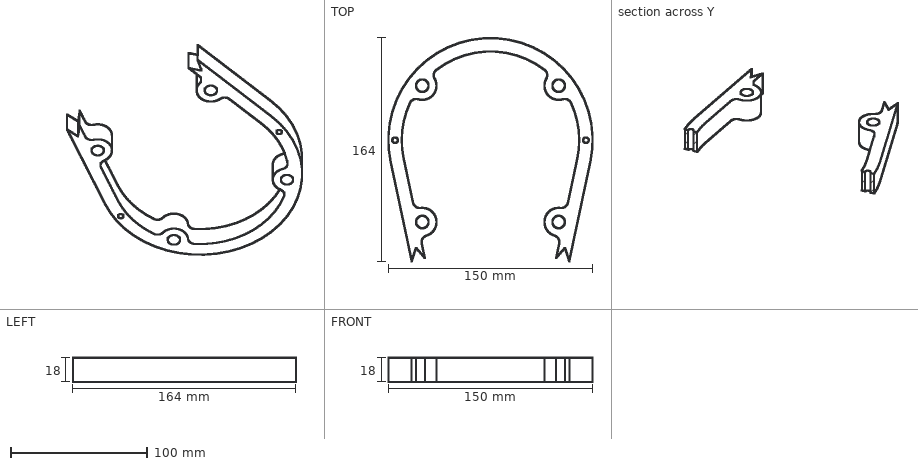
import cadquery as cq
import math

LENGTH = 164.0
THICKNESS = 18.0
OUTER_RADIUS = 150.0 / 2
WALL = 10.0
LEG_ANGLE = math.radians(12.0)

BOSS_RADIUS = 10.5
BOSS_FILLET = 5.0
BOSS_HOLE_DIAMETER = 9.0
BOSS_X = 50.0
UPPER_BOSS_Y = 40.0
LOWER_BOSS_Y = -60.0
PIN_HOLE_DIAMETER = 4.0

INNER_TIP_Y = -86.5
NOTCH_X = 54.6
NOTCH_Y = -79.0

INNER_RADIUS = OUTER_RADIUS - WALL
OUTER_TIP_Y = OUTER_RADIUS - LENGTH
SIDES = (-1, 1)


def tangent_point(radius):
    """Right-hand point where an arc about the origin meets its straight leg."""
    return radius * math.cos(LEG_ANGLE), -radius * math.sin(LEG_ANGLE)


def leg_point(radius, y):
    """Right-hand point at height y on the leg tangent to the given arc."""
    return radius / math.cos(LEG_ANGLE) + y * math.tan(LEG_ANGLE), y


def mirrored(point):
    return -point[0], point[1]


def make_frame():
    """Horseshoe of constant wall thickness with a V notch in each leg end."""
    outer_start = tangent_point(OUTER_RADIUS)
    inner_start = tangent_point(INNER_RADIUS)
    outer_tip = leg_point(OUTER_RADIUS, OUTER_TIP_Y)
    inner_tip = leg_point(INNER_RADIUS, INNER_TIP_Y)
    notch = (NOTCH_X, NOTCH_Y)
    return (
        cq.Workplane("XY")
        .moveTo(*outer_tip)
        .lineTo(*outer_start)
        .threePointArc((0, OUTER_RADIUS), mirrored(outer_start))
        .lineTo(*mirrored(outer_tip))
        .lineTo(*mirrored(notch))
        .lineTo(*mirrored(inner_tip))
        .lineTo(*mirrored(inner_start))
        .threePointArc((0, INNER_RADIUS), inner_start)
        .lineTo(*inner_tip)
        .lineTo(*notch)
        .close()
        .extrude(THICKNESS)
    )


def cylinders(points, radius):
    return cq.Workplane("XY").pushPoints(points).circle(radius).extrude(THICKNESS)


def is_boss_corner(edge):
    """True for the upright edges where a boss meets the inner wall."""
    middle = edge.Center()
    distances = [math.hypot(middle.x - x, middle.y - y) for x, y in boss_centers]
    return any(abs(distance - BOSS_RADIUS) < 0.002 for distance in distances)


boss_centers = [(side * BOSS_X, y) for side in SIDES for y in (UPPER_BOSS_Y, LOWER_BOSS_Y)]
pin_centers = [(side * (OUTER_RADIUS - WALL / 2), 0) for side in SIDES]

body = make_frame().union(cylinders(boss_centers, BOSS_RADIUS))
boss_corners = [edge for edge in body.edges("|Z").vals() if is_boss_corner(edge)]
body = body.newObject(boss_corners).fillet(BOSS_FILLET)

body = body.cut(cylinders(boss_centers, BOSS_HOLE_DIAMETER / 2))
result = body.cut(cylinders(pin_centers, PIN_HOLE_DIAMETER / 2))